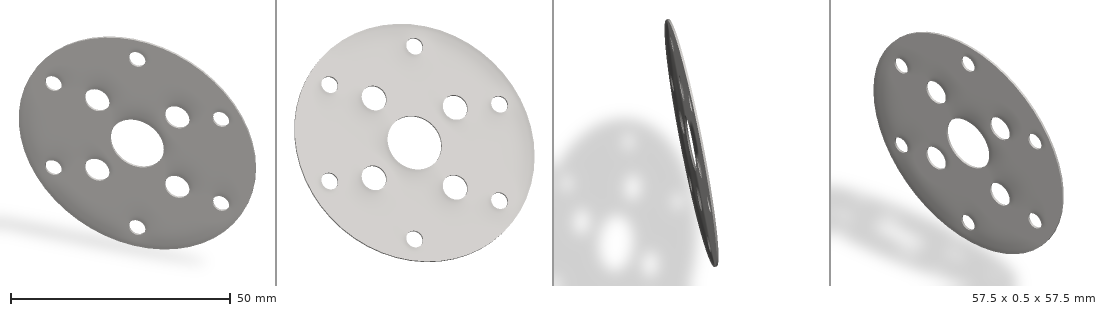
import cadquery as cq

disc_diameter = 57.5
thickness = 0.5
bore_diameter = 13.0

inner_hole_count = 4
inner_hole_diameter = 6.0
inner_circle_diameter = 27.5
inner_start_angle = 45

outer_hole_count = 6
outer_hole_diameter = 4
outer_circle_diameter = 47.0
outer_start_angle = 90


def drill_ring(plate, circle_diameter, start_angle, count, hole_diameter):
    """Drill equally spaced through holes on a circle about the disc axis."""
    return (
        plate.faces("<Y")
        .workplane(centerOption="CenterOfBoundBox")
        .polarArray(circle_diameter / 2, start_angle, 360, count)
        .hole(hole_diameter)
    )


disc = (
    cq.Workplane("XZ")
    .circle(disc_diameter / 2)
    .circle(bore_diameter / 2)
    .extrude(thickness / 2, both=True)
)
disc = drill_ring(disc, inner_circle_diameter, inner_start_angle, inner_hole_count, inner_hole_diameter)
result = drill_ring(disc, outer_circle_diameter, outer_start_angle, outer_hole_count, outer_hole_diameter)